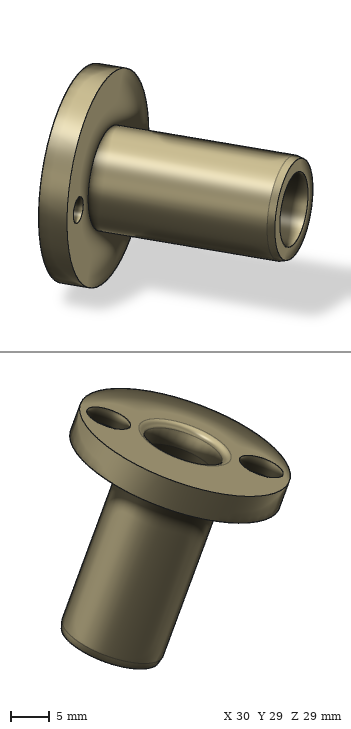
import cadquery as cq
import math

length = 30.0
flange_diameter = 29.0
flange_thickness = 4.0
sleeve_diameter = 14.0
bore_diameter = 10.0

entry_radius = 1.0
entry_taper_length = 3.0
entry_taper_angle = 10.0
tip_chamfer_length = 1.0
tip_chamfer_angle = 15.0

hole_offset = 10.5
hole_diameter = 3.5
counterbore_diameter = 6.0
counterbore_depth = 2.2


def cylinder_along_x(diameter, depth, y=0.0):
    return cq.Workplane("YZ", origin=(0, y, 0)).circle(diameter / 2).extrude(depth)


def revolve_about_x(profile):
    return profile.close().revolve(360, (0, 0, 0), (1, 0, 0))


def make_sleeve():
    """Solid round sleeve with a shallow lead-in taper at its free end."""
    sleeve_radius = sleeve_diameter / 2
    taper_drop = tip_chamfer_length * math.tan(math.radians(tip_chamfer_angle))
    return revolve_about_x(
        cq.Workplane("XY")
        .lineTo(0, sleeve_radius)
        .lineTo(length - tip_chamfer_length, sleeve_radius)
        .lineTo(length, sleeve_radius - taper_drop)
        .lineTo(length, 0)
    )


def make_bore():
    """Through bore whose flange end tapers open and ends in a lip tangent to the taper and face."""
    bore_radius = bore_diameter / 2
    angle = math.radians(entry_taper_angle)
    taper_radius_at_face = bore_radius + entry_taper_length * math.tan(angle)
    mouth_radius = taper_radius_at_face + entry_radius * math.tan((math.pi / 2 - angle) / 2)

    def lip_point(turn):
        """Point on the lip, turned from the flange face (0) toward the bore axis."""
        return (
            entry_radius * (1 - math.cos(turn)),
            mouth_radius - entry_radius * math.sin(turn),
        )

    lip_turn = math.pi / 2 - angle
    return revolve_about_x(
        cq.Workplane("XY")
        .lineTo(0, mouth_radius)
        .threePointArc(lip_point(lip_turn / 2), lip_point(lip_turn))
        .lineTo(entry_taper_length, bore_radius)
        .lineTo(length, bore_radius)
        .lineTo(length, 0)
    )


def make_mounting_hole(y):
    hole = cylinder_along_x(hole_diameter, flange_thickness, y)
    return hole.union(cylinder_along_x(counterbore_diameter, counterbore_depth, y))


result = cylinder_along_x(flange_diameter, flange_thickness).union(make_sleeve())
result = result.cut(make_bore())
for side in (-1, 1):
    result = result.cut(make_mounting_hole(side * hole_offset))